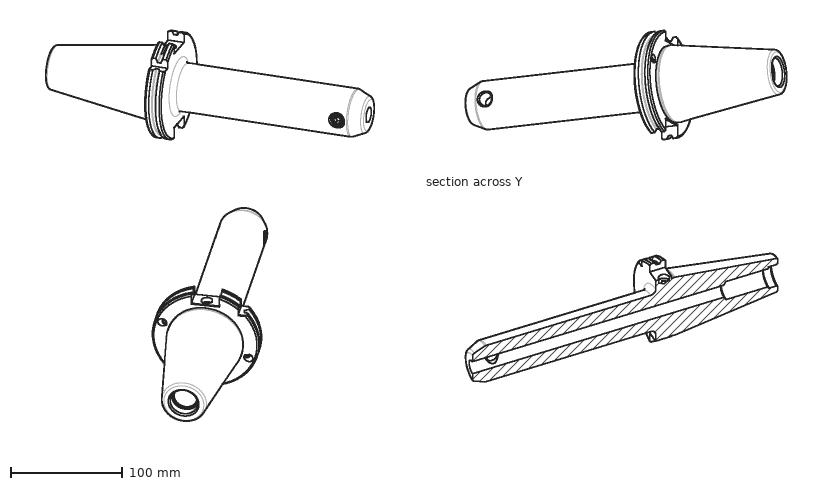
import cadquery as cq
import math

TOTAL_LENGTH = 301.8
GAUGE_X = 101.7
RELIEF_START_X = 102.5
RELIEF_FLOOR_X = 104.0
FLANGE_START_X = 105.0
FLANGE_END_X = 120.7
NOSE_START_X = 288.8

TAPER_RATE = 7 / 24
GAUGE_RADIUS = 35.0
SMALL_END_RADIUS = GAUGE_RADIUS - GAUGE_X * TAPER_RATE / 2
SMALL_END_FILLET = 2.0
RELIEF_DEPTH = 0.45

FLANGE_DIAMETER = 97.5
FLANGE_RADIUS = FLANGE_DIAMETER / 2
FLANGE_CHAMFER = 1.5
GROOVE_CENTER_X = 112.5
GROOVE_DEPTH = 3.0
GROOVE_FLOOR_WIDTH = 3.0
GROOVE_FILLET = 1.0
GROOVE_WALL_ANGLE = 30.0

SLOT_WIDTH = 25.5
UPPER_SLOT_FLOOR = 37.7
LOWER_SLOT_FLOOR = 35.3
FLOOR_CHAMFER = 0.5
NOTCH_SIDE_Y = -30.0
NOTCH_FLOOR_Z = 30.5

CHIP_DIAMETER = 10.0
CHIP_DEPTH = 4.5
CHIP_PILOT_RADIUS = 2.0
CHIP_PILOT_DEPTH = 1.0

COOLANT_CIRCLE_RADIUS = 42.0
COOLANT_ANGLE = 20.0
COOLANT_SLANT = 30.0
COOLANT_RADIUS = 3.5
COOLANT_DEPTH = 4.5
COOLANT_PILOT_RADIUS = 2.0
COOLANT_PILOT_DEPTH = 12.0

HOLDER_RADIUS = 22.0
NECK_FILLET = 5.0
NOSE_ANGLE = 24.0
NOSE_FILLET = 3.0

COUNTERBORE_DIAMETER = 25.0
COUNTERBORE_RADIUS = COUNTERBORE_DIAMETER / 2
COUNTERBORE_CHAMFER = 1.5
COUNTERBORE_DEPTH = 9.0
THREAD_RADIUS = 10.5
THREAD_CHAMFER = 1.05
THREAD_END_X = 51.3
TOOL_BORE_RADIUS = 7.0
DRILL_POINT_HALF_ANGLE = 60.0

SCREW_X = 279.0
SCREW_RADIUS = 6.0
SCREW_CHAMFER = 1.0
SCREW_OUTER_Y = -21.0
SCREW_INNER_Y = -7.0
SCREW_HOLE_CHAMFER = 1.35
HEX_SIDES = 6
HEX_ACROSS_FLATS = 6.0
HEX_DEPTH = 6.0
HEX_COUNTERSINK_RADIUS = 4.2
HEX_COUNTERSINK_HALF_ANGLE = 60.0

CUT_MARGIN = 3.0


def revolve_about_x(outline):
    """Turn a closed outline of (x, radius) points about the X axis."""
    return cq.Workplane("XZ").polyline(outline).close().revolve(360, (0, 0, 0), (1, 0, 0))


def taper_shank():
    blank = revolve_about_x([
        (0, 0),
        (0, SMALL_END_RADIUS),
        (GAUGE_X, GAUGE_RADIUS),
        (RELIEF_START_X, GAUGE_RADIUS),
        (RELIEF_FLOOR_X, GAUGE_RADIUS - RELIEF_DEPTH),
        (FLANGE_START_X, GAUGE_RADIUS - RELIEF_DEPTH),
        (FLANGE_START_X, 0),
    ])
    return blank.faces("<X").edges().fillet(SMALL_END_FILLET)


def holder_cylinder():
    nose_drop = (TOTAL_LENGTH - NOSE_START_X) * math.tan(math.radians(NOSE_ANGLE))
    blank = revolve_about_x([
        (FLANGE_START_X, 0),
        (FLANGE_START_X, HOLDER_RADIUS),
        (NOSE_START_X, HOLDER_RADIUS),
        (TOTAL_LENGTH, HOLDER_RADIUS - nose_drop),
        (TOTAL_LENGTH, 0),
    ])
    nose_rims = blank.edges("%CIRCLE").edges(cq.selectors.BoxSelector(
        (NOSE_START_X - NOSE_FILLET, -HOLDER_RADIUS, -HOLDER_RADIUS),
        (TOTAL_LENGTH + NOSE_FILLET, HOLDER_RADIUS, HOLDER_RADIUS),
    ))
    return nose_rims.fillet(NOSE_FILLET)


def neck_fillet():
    """Concave ring between the flange and the holder cylinder."""
    top = HOLDER_RADIUS + NECK_FILLET
    end_x = FLANGE_END_X + NECK_FILLET
    arc_middle_offset = NECK_FILLET * (1 - math.sqrt(0.5))
    return (
        cq.Workplane("XY")
        .moveTo(FLANGE_END_X, HOLDER_RADIUS - NECK_FILLET)
        .lineTo(FLANGE_END_X, top)
        .threePointArc(
            (FLANGE_END_X + arc_middle_offset, HOLDER_RADIUS + arc_middle_offset),
            (end_x, HOLDER_RADIUS),
        )
        .lineTo(end_x, HOLDER_RADIUS - NECK_FILLET)
        .close()
        .revolve(360, (0, 0, 0), (1, 0, 0))
    )


def flange_disc():
    floor_half = GROOVE_FLOOR_WIDTH / 2
    mouth_half = floor_half + GROOVE_DEPTH * math.tan(math.radians(GROOVE_WALL_ANGLE))
    groove_radius = FLANGE_RADIUS - GROOVE_DEPTH
    rim_radius = FLANGE_RADIUS - FLANGE_CHAMFER
    blank = revolve_about_x([
        (FLANGE_START_X, 0),
        (FLANGE_START_X, rim_radius),
        (FLANGE_START_X + FLANGE_CHAMFER, FLANGE_RADIUS),
        (GROOVE_CENTER_X - mouth_half, FLANGE_RADIUS),
        (GROOVE_CENTER_X - floor_half, groove_radius),
        (GROOVE_CENTER_X + floor_half, groove_radius),
        (GROOVE_CENTER_X + mouth_half, FLANGE_RADIUS),
        (FLANGE_END_X - FLANGE_CHAMFER, FLANGE_RADIUS),
        (FLANGE_END_X, rim_radius),
        (FLANGE_END_X, 0),
    ])
    floor_edges = blank.edges("%CIRCLE").edges(cq.selectors.RadiusNthSelector(0))
    return floor_edges.fillet(GROOVE_FILLET)


def flange_block(y_from, y_to, z_from, z_to):
    """Box that spans the flange thickness between the given Y and Z limits."""
    return cq.Workplane("XY").box(
        FLANGE_END_X - FLANGE_START_X, y_to - y_from, z_to - z_from, centered=False
    ).translate((FLANGE_START_X, y_from, z_from))


def slotted_flange():
    """Flange with its drive slots and notch, whose floors are chamfered at the taper-side face."""
    beyond = FLANGE_RADIUS + CUT_MARGIN
    half_slot = SLOT_WIDTH / 2
    upper_slot = flange_block(-half_slot, half_slot, UPPER_SLOT_FLOOR, beyond)
    lower_slot = flange_block(-half_slot, half_slot, -beyond, -LOWER_SLOT_FLOOR)
    notch = flange_block(-beyond, NOTCH_SIDE_Y, NOTCH_FLOOR_Z, beyond)
    flange = flange_disc().cut(upper_slot).cut(lower_slot).cut(notch)
    return flange.edges("|Y").edges("<X").chamfer(FLOOR_CHAMFER)


def drilled_hole(radius, depth):
    """Round hole along X from the origin, ending in a drill point."""
    point_length = radius / math.tan(math.radians(DRILL_POINT_HALF_ANGLE))
    return revolve_about_x([(0, 0), (0, radius), (depth, radius), (depth + point_length, 0)])


def chip_recess():
    pocket = cq.Workplane("XY").circle(CHIP_DIAMETER / 2).extrude(-CHIP_DEPTH)
    pilot = drilled_hole(CHIP_PILOT_RADIUS, CHIP_DEPTH + CHIP_PILOT_DEPTH)
    pilot = pilot.rotate((0, 0, 0), (0, 1, 0), 90)
    return pocket.union(pilot).translate((GROOVE_CENTER_X, 0, UPPER_SLOT_FLOOR))


def coolant_hole():
    """Stepped blind hole on the +Y side, slanting from the flange face towards the axis."""
    hole = revolve_about_x([
        (-COOLANT_RADIUS, 0),
        (-COOLANT_RADIUS, COOLANT_RADIUS),
        (COOLANT_DEPTH, COOLANT_RADIUS),
        (COOLANT_DEPTH, COOLANT_PILOT_RADIUS),
        (COOLANT_PILOT_DEPTH, COOLANT_PILOT_RADIUS),
        (COOLANT_PILOT_DEPTH, 0),
    ])
    hole = hole.rotate((0, 0, 0), (0, 0, 1), -COOLANT_SLANT)
    return hole.translate((FLANGE_START_X, COOLANT_CIRCLE_RADIUS, 0))


def bore():
    drill_point_drop = THREAD_RADIUS - TOOL_BORE_RADIUS
    drill_point_length = drill_point_drop / math.tan(math.radians(DRILL_POINT_HALF_ANGLE))
    return revolve_about_x([
        (0, 0),
        (0, COUNTERBORE_RADIUS + COUNTERBORE_CHAMFER),
        (COUNTERBORE_CHAMFER, COUNTERBORE_RADIUS),
        (COUNTERBORE_DEPTH, COUNTERBORE_RADIUS),
        (COUNTERBORE_DEPTH, THREAD_RADIUS + THREAD_CHAMFER),
        (COUNTERBORE_DEPTH + THREAD_CHAMFER, THREAD_RADIUS),
        (THREAD_END_X, THREAD_RADIUS),
        (THREAD_END_X + drill_point_length, TOOL_BORE_RADIUS),
        (TOTAL_LENGTH, TOOL_BORE_RADIUS),
        (TOTAL_LENGTH, 0),
    ])


def screw_hole():
    """Cross hole right through the holder, so that it opens on the -Y and +Y sides."""
    half_length = HOLDER_RADIUS + CUT_MARGIN
    return cq.Workplane("XZ").center(SCREW_X, 0).circle(SCREW_RADIUS).extrude(half_length, both=True)


def screw_hole_mouth(side):
    """Selector for the rim of the screw hole on the +Y side (side = 1) or the -Y side (side = -1)."""
    rim_lowest_y = math.sqrt(HOLDER_RADIUS**2 - SCREW_RADIUS**2)
    rim_middle_y = side * (HOLDER_RADIUS + rim_lowest_y) / 2
    box_half_height = SCREW_RADIUS / 2
    return cq.selectors.BoxSelector(
        (SCREW_X - SCREW_RADIUS, rim_middle_y - box_half_height, -SCREW_RADIUS),
        (SCREW_X + SCREW_RADIUS, rim_middle_y + box_half_height, SCREW_RADIUS),
    )


def build_holder():
    holder = taper_shank().union(holder_cylinder()).union(slotted_flange()).union(neck_fillet())
    holder = holder.cut(chip_recess())
    for angle in (COOLANT_ANGLE, COOLANT_ANGLE + 180):
        holder = holder.cut(coolant_hole().rotate((0, 0, 0), (1, 0, 0), angle))
    holder = holder.cut(bore()).cut(screw_hole())
    for side in (-1, 1):
        holder = holder.edges(screw_hole_mouth(side)).chamfer(SCREW_HOLE_CHAMFER)
    return holder


def build_clamping_screw():
    """Set screw with chamfered ends and a hexagon socket in its outer end."""
    length = SCREW_INNER_Y - SCREW_OUTER_Y
    hex_across_corners = HEX_ACROSS_FLATS / math.cos(math.pi / HEX_SIDES)
    outer_end = cq.Workplane("XZ", origin=(SCREW_X, SCREW_OUTER_Y, 0))
    blank = outer_end.circle(SCREW_RADIUS).extrude(-length).faces("<Y or >Y").chamfer(SCREW_CHAMFER)
    socket = outer_end.polygon(HEX_SIDES, hex_across_corners).extrude(-HEX_DEPTH)
    countersink_depth = HEX_COUNTERSINK_RADIUS / math.tan(math.radians(HEX_COUNTERSINK_HALF_ANGLE))
    countersink = cq.Workplane(obj=cq.Solid.makeCone(
        HEX_COUNTERSINK_RADIUS,
        0,
        countersink_depth,
        cq.Vector(SCREW_X, SCREW_OUTER_Y, 0),
        cq.Vector(0, 1, 0),
    ))
    return blank.cut(socket).cut(countersink)


holder = build_holder()
clamping_screw = build_clamping_screw()

result = cq.Compound.makeCompound([holder.val(), clamping_screw.val()])